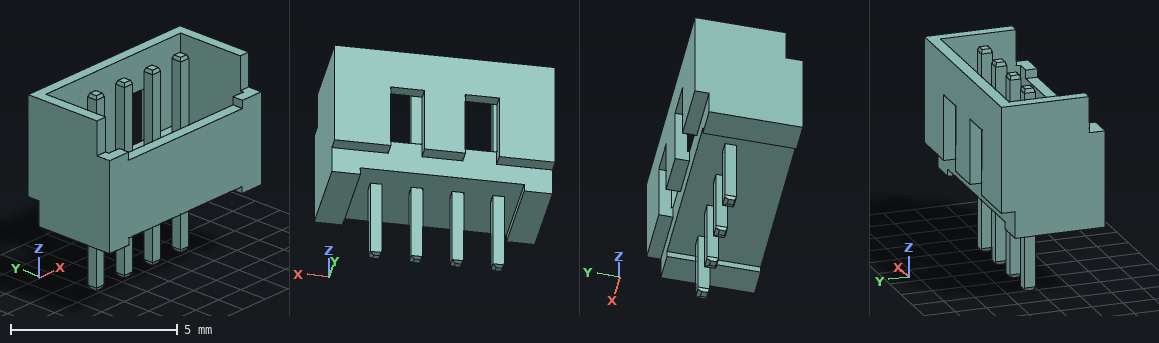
import cadquery as cq

length = 6.75
depth = 3.33
height = 4.23
wall = 0.385
floor_thickness = 1.29
front = -depth / 2
back = depth / 2

front_step_depth = 0.51
front_step_drop = 1.155
rim_notch_length = 5.055
rim_notch_drop = 0.27

standoff_gap_length = 5.01
standoff_height = 0.23
back_step_depth = 0.44
back_step_height = 0.85

window_count = 2
window_width = 1.03
window_spacing = 2.28
window_top_drop = 1.295

pin_count = 4
pin_pitch = 1.25
pin_width = 0.36
pin_from_back = 1.4
pin_below_housing = 2.25
pin_top_drop = 0.03
taper_height = 0.12
taper_inset = 0.05


def box(x_size, y_min, y_max, z_min, z_max, x_center=0.0):
    """Box centred on x_center, spanning the given Y and Z ranges."""
    return (
        cq.Workplane("XY")
        .box(x_size, y_max - y_min, z_max - z_min, centered=(True, False, False))
        .translate((x_center, y_min, z_min))
    )


def row_positions(count, spacing):
    """X positions of an evenly spaced row centred on X = 0."""
    return [(i - (count - 1) / 2) * spacing for i in range(count)]


def make_housing():
    step_z = height - front_step_drop
    body = box(length, front, back, 0, height)

    body = body.cut(box(length - 2 * wall, front + wall, back - wall, floor_thickness, height))

    body = body.cut(box(length, front, front + front_step_depth, step_z, height))
    body = body.cut(box(rim_notch_length, front, front + wall, step_z - rim_notch_drop, step_z))

    body = body.cut(box(standoff_gap_length, front, back, 0, standoff_height))
    body = body.cut(box(length, back - back_step_depth, back, 0, back_step_height))

    for x in row_positions(window_count, window_spacing):
        body = body.cut(
            box(window_width, back - back_step_depth, back, back_step_height, height - window_top_drop, x)
        )
    return body


def make_pin():
    """Square pin with both ends tapered, standing on Z = 0."""
    pin_length = pin_below_housing + height - pin_top_drop
    return (
        cq.Workplane("XY")
        .box(pin_width, pin_width, pin_length, centered=(True, True, False))
        .faces(">Z")
        .chamfer(taper_height, taper_inset)
        .faces("<Z")
        .chamfer(taper_height, taper_inset)
    )


result = make_housing()
pin = make_pin()
for x in row_positions(pin_count, pin_pitch):
    result = result.union(pin.translate((x, back - pin_from_back, -pin_below_housing)))